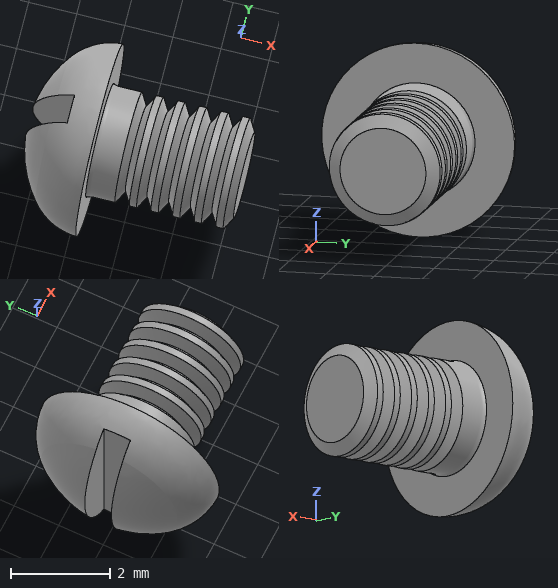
import cadquery as cq
import math

overall_length = 4.48
shank_length = 3.0
shank_radius = 1.15

head_radius = 2.003
crown_arc_radius = 2.42
crown_edge_radius = 1.528

slot_width = 0.595
slot_floor_height = 0.605

neck_flare_length = 0.095
neck_flare_height = 0.03

threaded_length = 2.7
groove_count = 5
thread_pitch = threaded_length / (groove_count + 1)
flank_angle = 60.0
flank_length = thread_pitch / 3
root_radius = shank_radius - flank_length * math.tan(math.radians(flank_angle))


def crown_drop(radius):
    """Axial distance from the crown's apex to the crown at this radius."""
    return crown_arc_radius - math.sqrt(crown_arc_radius**2 - radius**2)


apex_x = shank_length - overall_length - crown_drop(slot_width / 2)


def make_head():
    crown_edge = (apex_x + crown_drop(crown_edge_radius), crown_edge_radius)
    crown_middle_radius = crown_edge_radius / 2
    crown_middle = (apex_x + crown_drop(crown_middle_radius), crown_middle_radius)
    profile = (
        cq.Workplane("XY")
        .moveTo(apex_x, 0)
        .threePointArc(crown_middle, crown_edge)
        .tangentArcPoint((0, head_radius), relative=False)
        .lineTo(0, 0)
        .close()
    )
    return profile.revolve(360, (0, 0, 0), (1, 0, 0))


def make_shank():
    flare_radius = (neck_flare_length**2 + neck_flare_height**2) / (2 * neck_flare_height)
    profile = (
        cq.Workplane("XY")
        .lineTo(0, shank_radius + neck_flare_height)
        .radiusArc((neck_flare_length, shank_radius), -flare_radius)
    )
    for groove in range(groove_count):
        root_x = shank_length - (groove_count - groove) * thread_pitch
        profile = (
            profile.lineTo(root_x - flank_length, shank_radius)
            .lineTo(root_x, root_radius)
            .lineTo(root_x + flank_length, shank_radius)
        )
    profile = (
        profile.lineTo(shank_length - flank_length, shank_radius)
        .lineTo(shank_length, root_radius)
        .lineTo(shank_length, 0)
        .close()
    )
    return profile.revolve(360, (0, 0, 0), (1, 0, 0))


def make_slot():
    slot_depth = -slot_floor_height - apex_x
    slot_center_x = apex_x + slot_depth / 2
    return (
        cq.Workplane("XY")
        .box(slot_depth, slot_width, 2 * head_radius)
        .translate((slot_center_x, 0, 0))
    )


result = make_head().union(make_shank()).cut(make_slot())